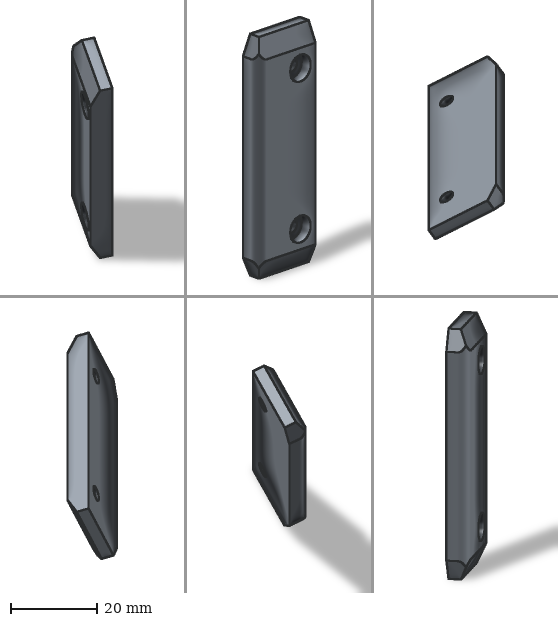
import cadquery as cq
import math

width = 18.3
thickness = 5.3
length = 60.0

slope_length = 5.0
slope_angle = 25.0
slope_inset = slope_length * math.tan(math.radians(slope_angle))

edge_radius = 2.5

hole_diameter = 3.5
counterbore_diameter = 6.6
counterbore_depth = 3.0
hole_to_right_side = 4.85
hole_to_end = 10.0

half_width = width / 2
half_thickness = thickness / 2
half_length = length / 2


def sloped_outline(plane, outer, inner):
    """Profile, outer face to inner face, with the outer face sloped at both ends."""
    shoulder = half_length - slope_length
    return cq.Workplane(plane).polyline([
        (inner, -half_length),
        (outer + slope_inset, -half_length),
        (outer, -shoulder),
        (outer, shoulder),
        (outer + slope_inset, half_length),
        (inner, half_length),
    ]).close()


def make_plate():
    """Plate with one rounded edge, trimmed by the end slopes of two faces."""
    block = cq.Workplane("XY").box(width, thickness, length)
    block = block.edges("|Z and <X and <Y").fillet(edge_radius)
    left_slopes = sloped_outline("XZ", -half_width, half_width).extrude(half_thickness, both=True)
    front_slopes = sloped_outline("YZ", -half_thickness, half_thickness).extrude(half_width, both=True)
    return block.intersect(left_slopes).intersect(front_slopes)


def cut_screw_holes(plate):
    """Two through holes, counterbored from the front (-Y) face."""
    hole_x = half_width - hole_to_right_side
    hole_z = half_length - hole_to_end
    front_plane = cq.Workplane("XZ", origin=(0, -half_thickness, 0))
    centers = front_plane.pushPoints([(hole_x, -hole_z), (hole_x, hole_z)])
    through_holes = centers.circle(hole_diameter / 2).extrude(-thickness)
    counterbores = centers.circle(counterbore_diameter / 2).extrude(-counterbore_depth)
    return plate.cut(through_holes).cut(counterbores)


result = cut_screw_holes(make_plate())